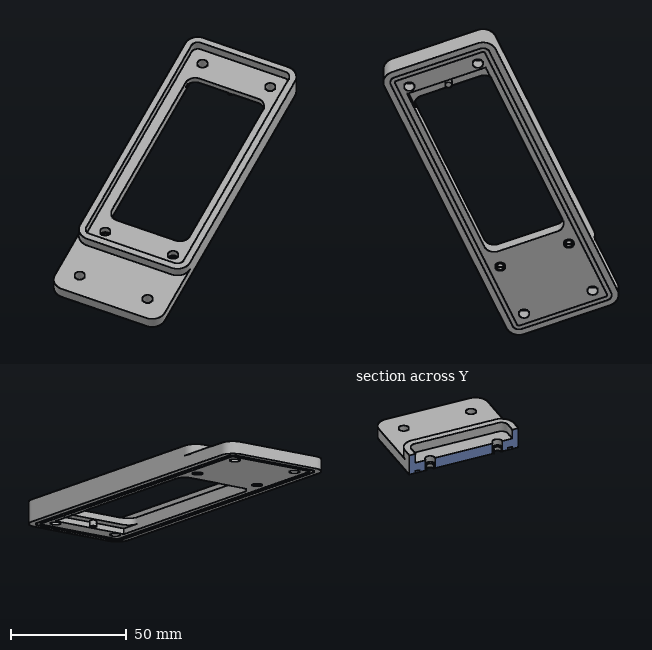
import cadquery as cq

plate_width = 52
plate_length = 150
plate_thickness = 5.5
corner_radius = 6

tray_length = 123.3
tray_height = 4.5
tray_wall = 3
tray_inner_radius = corner_radius - tray_wall
tray_center_y = (plate_length - tray_length) / 2

window_width = 36.6
window_length = 87
window_radius = 4.5
window_end_y = tray_center_y + window_length / 2

floor_thickness = 3
recess_depth = plate_thickness - floor_thickness
recess_reach = 5
post_diameter = 3
post_offset = recess_reach / 2
post_y = window_end_y + post_offset

screw_hole_diameter = 4.5
hole_half_spacing = 16
end_hole_y = 65
tray_hole_y = -38

seal_inset = 3
seal_width = 2
seal_proud = 0.1
seal_groove_depth = 1
seal_radius = corner_radius - seal_inset

bushing_bore = 3.2
bushing_length = recess_depth
bushing_chamfer = 0.5


def rounded_block(width, length, height, radius, center_y, bottom_z):
    """Block with rounded vertical corners, centred on x = 0."""
    return (
        cq.Workplane("XY", origin=(0, center_y, bottom_z))
        .rect(width, length)
        .extrude(height)
        .edges("|Z")
        .fillet(radius)
    )


def seal_band(bottom_z, height):
    """Closed rounded band that follows the plate edge at a constant inset."""
    outer_width = plate_width - 2 * seal_inset
    outer_length = plate_length - 2 * seal_inset
    outer = rounded_block(outer_width, outer_length, height, seal_radius, 0, bottom_z)
    inner = rounded_block(
        outer_width - 2 * seal_width,
        outer_length - 2 * seal_width,
        height,
        seal_radius - seal_width,
        0,
        bottom_z,
    )
    return outer.cut(inner)


def make_housing():
    """Plate with tray, window, underside recess, post, screw holes and seal groove."""
    body = rounded_block(plate_width, plate_length, plate_thickness, corner_radius, 0, 0)
    tray_top = plate_thickness + tray_height
    tray = rounded_block(plate_width, tray_length, tray_top, corner_radius, tray_center_y, 0)
    pocket = rounded_block(
        plate_width - 2 * tray_wall,
        tray_length - 2 * tray_wall,
        tray_height,
        tray_inner_radius,
        tray_center_y,
        plate_thickness,
    )
    window = rounded_block(
        window_width, window_length, plate_thickness, window_radius, tray_center_y, 0
    )
    body = body.union(tray).cut(pocket).cut(window)

    recess_start_y = tray_center_y
    recess_length = window_end_y + recess_reach - recess_start_y
    recess = cq.Workplane("XY").box(
        window_width, recess_length, recess_depth, centered=(True, False, False)
    )
    body = body.cut(recess.translate((0, recess_start_y, 0)))

    post = cq.Workplane("XY", origin=(0, post_y, 0)).circle(post_diameter / 2).extrude(recess_depth)
    body = body.union(post)

    hole_points = [
        (side * hole_half_spacing, y)
        for side in (-1, 1)
        for y in (end_hole_y, tray_hole_y, -end_hole_y)
    ]
    holes = (
        cq.Workplane("XY")
        .pushPoints(hole_points)
        .circle(screw_hole_diameter / 2)
        .extrude(plate_thickness)
    )
    return body.cut(holes).cut(seal_band(0, seal_groove_depth))


def make_seal():
    """Seal that fills its groove and stands slightly proud of the underside."""
    return seal_band(-seal_proud, seal_groove_depth + seal_proud)


def make_bushing(x):
    """Bushing at the bottom of a tray hole, with a chamfered bore entry."""
    return (
        cq.Workplane("XY", origin=(x, tray_hole_y, 0))
        .circle(screw_hole_diameter / 2)
        .circle(bushing_bore / 2)
        .extrude(bushing_length)
        .faces(">Z")
        .edges("%CIRCLE")
        .edges(cq.selectors.RadiusNthSelector(0))
        .chamfer(bushing_chamfer)
    )


housing = make_housing()
seal = make_seal()
bushings = [make_bushing(side * hole_half_spacing) for side in (-1, 1)]

result = cq.Compound.makeCompound(
    [housing.val(), seal.val(), *[bushing.val() for bushing in bushings]]
)